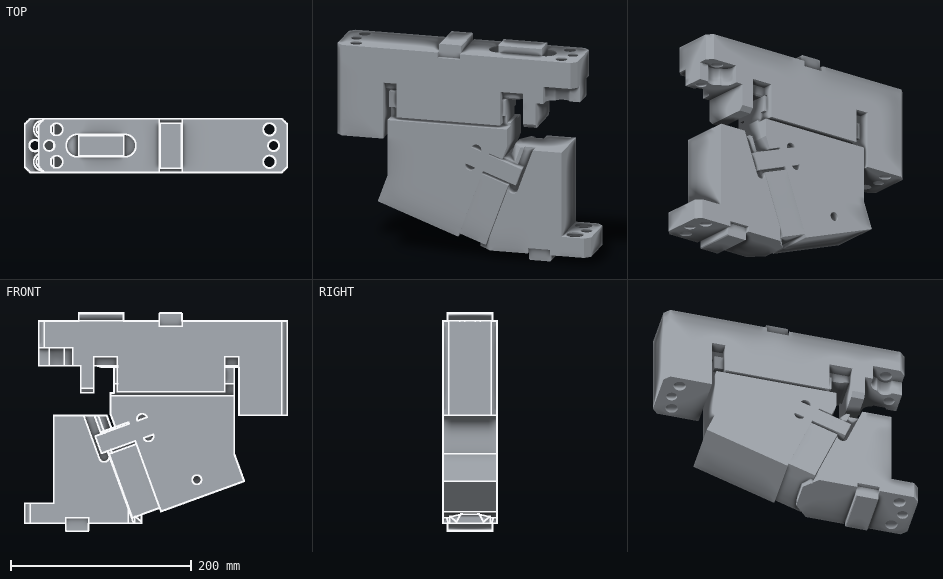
import cadquery as cq
import math

LENGTH = 292.0
WIDTH = 60.0
SHUT_HEIGHT = 225.0
HALF_WIDTH = WIDTH / 2
SIDES = (-1, 1)
FAR = 400.0

CORNER_CHAMFER = 6.3
BOLT_HOLE_D = 13.5
BOLT_SPACING = 36.0
BOLT_FROM_END = 20.0
COUNTERBORE_D = 19.6
KEY_WIDTH = 25.5
KEY_LENGTH = 50.0
KEY_HEIGHT = 15.0
KEY_PROUD = 8.8
KEY_CHAMFER = 1.0
KEY_SEAT = KEY_HEIGHT - KEY_PROUD

GUIDE_ANGLE = 20.0
GUIDE_FOOT_X = 121.2
TONGUE_HALF = 22.5
TONGUE_STEP = 4.0
VEE_HEIGHT = 13.0
VEE_FLAT_HALF = 8.5
FACE_CLEARANCE = 0.8

DRIVER_HEIGHT = 120.0
DRIVER_WALL_X = 32.3
DRIVER_END_X = 130.0
DRIVER_END_CHAMFER = 15.0
FOOT_HEIGHT = 22.5
FOOT_SPOTFACE_DEPTH = 3.0
DOWEL_D = 12.0
DOWEL_FROM_END = 11.7
DOWEL_RELIEF_D = 13.2
DOWEL_RELIEF_DEPTH = 2.5
DRIVER_KEY_X = 58.4
RETURN_GROOVE_WIDTH = 11.2
RETURN_GROOVE_DEPTH = 12.0
RETURN_GROOVE_END = 80.6

SLIDER_LEFT_X = 95.4
SLIDER_RIGHT_X = 233.0
SLIDER_SHOULDER = 142.0
SLIDER_PLATEAU = 145.0
SLIDER_BACK = 131.5
SLIDER_BOTTOM = 2.0
SLIDER_TOP_RELIEF = 17.3
NECK_HALF = 15.0
HEAD_HALF = 22.0
TEE_LEFT_X = 99.1
HEAD_BOTTOM = 155.0
HEAD_TOP = 173.2
HOOK_LOW = 85.4
HOOK_HIGH = 105.7
HOOK_REACH = 7.0
HOOK_INNER_HALF = 18.5
HOOK_PLATE_DEPTH = 7.0
UPPER_SLOT_HEIGHT = 2.0
LOWER_SLOT_HEIGHT = 3.6
WEAR_PLATE_WIDTH = 33.0
WEAR_PLATE_BOTTOM = 6.2
WEAR_PLATE_RECESS = 0.2
HALF_HOLE_R = 5.8
HALF_HOLE_OFFSET = 48.5
SIDE_HOLE_D = 10.4
SIDE_HOLE_X = 191.4
SIDE_HOLE_Z = 48.5
SIDE_HOLE_DEPTH = 15.0
DRILL_POINT_ANGLE = 118.0

HOLDER_LEFT_X = 15.7
HOLDER_BODY_BOTTOM = 175.0
HOLDER_LEG_BOTTOM = 120.0
HOLDER_LEG_X = 238.0
STOP_LEFT_X = 62.4
STOP_RIGHT_X = 77.0
STOP_BOTTOM = 145.0
STOP_CHAMFER = 5.0
RAIL_LEFT_X = 103.0
RAIL_RIGHT_X = 222.5
RAIL_BOTTOM = 146.0
NOTCH_TOP = 185.0
PAD_START_X = 80.5
PAD_RAMP_LENGTH = 6.5
PAD_HALF = 17.0
PAD_SIDE_SLOPE = 1.0
POCKET_HEIGHT = 20.0
POCKET_END_X = 53.5
POCKET_HALF = 13.0
POCKET_CORNER_R = 9.8
RIGHT_DOWEL_FROM_END = 15.4
HOLDER_KEY_X = 162.2
RECESS_X = 85.0
RECESS_LENGTH = 77.5
RECESS_WIDTH = 25.0
RECESS_DEPTH = 6.5
STRIKER_LENGTH = 50.0
STRIKER_WIDTH = 24.0
STRIKER_CHAMFER = 1.0
STRIKER_PROUD = 8.8


def box(x0, x1, y0, y1, z0, z1):
    return cq.Workplane("XY").box(x1 - x0, y1 - y0, z1 - z0, centered=False).translate((x0, y0, z0))


def full_box(x0, x1, z0, z1):
    """Box over the full width."""
    return box(x0, x1, -HALF_WIDTH, HALF_WIDTH, z0, z1)


def tilt(shape):
    """Lean a shape so its X axis becomes the guide normal and its Z axis the guide slope."""
    return shape.rotate((0, 0, 0), (0, 1, 0), -GUIDE_ANGLE).translate((GUIDE_FOOT_X, 0, 0))


def guide_point(normal, along):
    """X and Z of a point given by its distance from the guide face and along the slope."""
    angle = math.radians(GUIDE_ANGLE)
    x = GUIDE_FOOT_X + normal * math.cos(angle) - along * math.sin(angle)
    z = normal * math.sin(angle) + along * math.cos(angle)
    return x, z


def guide_line_at(normal, x):
    """Point at the given X on the sloped line that lies `normal` from the guide face."""
    angle = math.radians(GUIDE_ANGLE)
    z = (normal - (x - GUIDE_FOOT_X) * math.cos(angle)) / math.sin(angle)
    return x, z


def side_profile(points):
    """Extrude an X-Z outline over the full width."""
    return cq.Workplane("XZ").polyline(points).close().extrude(HALF_WIDTH, both=True)


def hole(x, y, z_top, diameter, depth=FAR):
    """Vertical round cutter going down from `z_top`."""
    return cq.Workplane("XY", origin=(x, y, z_top)).circle(diameter / 2).extrude(-depth)


def guide_prism(face):
    """Sloped prism: a flat front at `face` with the stepped vee tongue standing on it."""
    outline = [
        (-FAR, HALF_WIDTH),
        (face, HALF_WIDTH),
        (face, TONGUE_HALF),
        (TONGUE_STEP, TONGUE_HALF),
        (VEE_HEIGHT, VEE_FLAT_HALF),
    ]
    mirrored = [(x, -y) for x, y in reversed(outline)]
    return tilt(cq.Workplane("XY").polyline(outline + mirrored).close().extrude(FAR, both=True))


def side_box(x0, x1, side, inner, z0, z1):
    """Box on one side of the unit, from Y distance `inner` out to the side face."""
    y0, y1 = sorted((side * inner, side * HALF_WIDTH))
    return box(x0, x1, y0, y1, z0, z1)


def side_disc(x, z, side, radius, depth):
    """Disc sunk into one side face."""
    back_face = HALF_WIDTH if side > 0 else depth - HALF_WIDTH
    return cq.Workplane("XZ", origin=(x, back_face, z)).circle(radius).extrude(depth)


def key(x, z_low, outer_face):
    """Cross key whose outer edges are chamfered."""
    block = box(
        x - KEY_WIDTH / 2, x + KEY_WIDTH / 2, -KEY_LENGTH / 2, KEY_LENGTH / 2, z_low, z_low + KEY_HEIGHT
    )
    return block.faces(outer_face).edges("|Y").chamfer(KEY_CHAMFER)


def key_seat(x, z_low):
    """Full-width keyway in which the key sits."""
    return full_box(x - KEY_WIDTH / 2, x + KEY_WIDTH / 2, z_low, z_low + KEY_SEAT)




def driver_block():
    """L-shaped block, bounded on the right by the sloped guide."""
    foot = full_box(0, DRIVER_END_X, 0, FOOT_HEIGHT)
    wall = full_box(DRIVER_WALL_X, DRIVER_END_X, 0, DRIVER_HEIGHT)
    block = foot.union(wall)
    block = block.faces(">X").edges("|Z").chamfer(DRIVER_END_CHAMFER)
    block = block.faces("<X").edges("|Z").chamfer(CORNER_CHAMFER)
    return block.intersect(guide_prism(0))


def return_groove(side):
    """Round-ended groove behind the guide tongue."""
    radius = RETURN_GROOVE_WIDTH / 2
    inner = HALF_WIDTH - RETURN_GROOVE_DEPTH
    channel = tilt(side_box(-RETURN_GROOVE_WIDTH, 0, side, inner, RETURN_GROOVE_END, FAR))
    end_x, end_z = guide_point(-radius, RETURN_GROOVE_END)
    return channel.union(side_disc(end_x, end_z, side, radius, RETURN_GROOVE_DEPTH))


def make_driver():
    driver = driver_block()
    for side in SIDES:
        driver = driver.cut(return_groove(side))
        y = side * BOLT_SPACING / 2
        driver = driver.cut(hole(BOLT_FROM_END, y, FOOT_HEIGHT, BOLT_HOLE_D))
        driver = driver.cut(hole(BOLT_FROM_END, y, FOOT_HEIGHT, COUNTERBORE_D, FOOT_SPOTFACE_DEPTH))
    driver = driver.cut(hole(DOWEL_FROM_END, 0, FOOT_HEIGHT, DOWEL_D))
    driver = driver.cut(hole(DOWEL_FROM_END, 0, FOOT_HEIGHT, DOWEL_RELIEF_D, DOWEL_RELIEF_DEPTH))
    driver = driver.cut(key_seat(DRIVER_KEY_X, 0))
    return driver.union(key(DRIVER_KEY_X, -KEY_PROUD, "<Z"))




def slider_block():
    """Main block with the female vee, the relieved upper face and the stepped top."""
    step = HOOK_HIGH + UPPER_SLOT_HEIGHT
    block = side_profile(
        [
            guide_point(0, WEAR_PLATE_BOTTOM),
            guide_point(WEAR_PLATE_WIDTH, WEAR_PLATE_BOTTOM),
            guide_point(WEAR_PLATE_WIDTH, SLIDER_BOTTOM),
            guide_point(SLIDER_BACK, SLIDER_BOTTOM),
            guide_line_at(SLIDER_BACK, SLIDER_RIGHT_X),
            (SLIDER_RIGHT_X, SLIDER_PLATEAU),
            (SLIDER_LEFT_X, SLIDER_PLATEAU),
            guide_line_at(SLIDER_TOP_RELIEF, SLIDER_LEFT_X),
            guide_point(SLIDER_TOP_RELIEF, step),
            guide_point(0, step),
        ]
    )
    block = block.cut(guide_prism(FACE_CLEARANCE))
    for side in SIDES:
        shoulder = side_box(SLIDER_LEFT_X, SLIDER_RIGHT_X, side, NECK_HALF, SLIDER_SHOULDER, SLIDER_PLATEAU)
        block = block.cut(shoulder)
    return block


def tee_tongue():
    """Neck and head that hang the slider in the holder's rails."""
    neck = box(TEE_LEFT_X, SLIDER_RIGHT_X, -NECK_HALF, NECK_HALF, SLIDER_PLATEAU, HEAD_BOTTOM)
    head = box(TEE_LEFT_X, SLIDER_RIGHT_X, -HEAD_HALF, HEAD_HALF, HEAD_BOTTOM, HEAD_TOP)
    return neck.union(head)


def hook_relief(side):
    """Slots above and below the return hook, and the half-round pockets beside it."""
    inner = HALF_WIDTH - HOOK_PLATE_DEPTH
    slot_floor = HOOK_LOW - LOWER_SLOT_HEIGHT
    slot_roof = HOOK_HIGH + UPPER_SLOT_HEIGHT
    upper = tilt(side_box(0, WEAR_PLATE_WIDTH, side, inner, HOOK_HIGH, slot_roof))
    lower = tilt(side_box(0, WEAR_PLATE_WIDTH, side, inner, slot_floor, HOOK_LOW))
    relief = upper.union(lower)
    hook_band = tilt(side_box(-FAR, FAR, side, inner, HOOK_LOW, HOOK_HIGH))
    for along in (HOOK_LOW, HOOK_HIGH):
        x, z = guide_point(HALF_HOLE_OFFSET, along)
        pocket = side_disc(x, z, side, HALF_HOLE_R, HOOK_PLATE_DEPTH)
        relief = relief.union(pocket.cut(hook_band))
    return relief


def wear_plate_step(side):
    """Shallow step that sets the lower front area just below the side face."""
    top = HOOK_LOW - LOWER_SLOT_HEIGHT
    inner = HALF_WIDTH - WEAR_PLATE_RECESS
    return tilt(side_box(0, WEAR_PLATE_WIDTH, side, inner, WEAR_PLATE_BOTTOM, top))


def return_hook(side):
    """Hook that passes outside the driver's tongue and reaches behind it."""
    plate_inner = HALF_WIDTH - HOOK_PLATE_DEPTH
    plate = tilt(side_box(0, SLIDER_TOP_RELIEF, side, plate_inner, HOOK_LOW, HOOK_HIGH))
    claw = tilt(side_box(-HOOK_REACH, 0, side, HOOK_INNER_HALF, HOOK_LOW, HOOK_HIGH))
    return plate.union(claw)


def side_hole():
    """Blind drilled hole in the -Y side face."""
    radius = SIDE_HOLE_D / 2
    tip = radius / math.tan(math.radians(DRILL_POINT_ANGLE / 2))
    half_section = [(0, 0), (radius, 0), (radius, SIDE_HOLE_DEPTH), (0, SIDE_HOLE_DEPTH + tip)]
    drill = cq.Workplane("XY").polyline(half_section).close().revolve(360, (0, 0), (0, 1))
    return drill.translate((SIDE_HOLE_X, -HALF_WIDTH, SIDE_HOLE_Z))


def make_slider():
    slider = slider_block().union(tee_tongue())
    for side in SIDES:
        slider = slider.cut(hook_relief(side))
        slider = slider.cut(wear_plate_step(side))
        slider = slider.union(return_hook(side))
    return slider.cut(side_hole())




def holder_block():
    """Top beam with the long right leg and the stop hanging near its left end."""
    beam = full_box(HOLDER_LEFT_X, LENGTH, HOLDER_BODY_BOTTOM, SHUT_HEIGHT)
    leg = full_box(HOLDER_LEG_X, LENGTH, HOLDER_LEG_BOTTOM, SHUT_HEIGHT)
    block = beam.union(leg).faces("<X or >X").edges("|Z").chamfer(CORNER_CHAMFER)
    stop = full_box(STOP_LEFT_X, STOP_RIGHT_X, STOP_BOTTOM, HOLDER_BODY_BOTTOM)
    stop = stop.faces("<Z").edges("|X").chamfer(STOP_CHAMFER)
    return block.union(stop)


def rails():
    """Pair of rails that wrap the slider's tee tongue."""
    block = full_box(RAIL_LEFT_X, RAIL_RIGHT_X, RAIL_BOTTOM, HOLDER_BODY_BOTTOM)
    neck = box(RAIL_LEFT_X, RAIL_RIGHT_X, -NECK_HALF, NECK_HALF, RAIL_BOTTOM, HEAD_BOTTOM)
    head = box(RAIL_LEFT_X, RAIL_RIGHT_X, -HEAD_HALF, HEAD_HALF, HEAD_BOTTOM, HOLDER_BODY_BOTTOM)
    return block.cut(neck).cut(head)


def slide_pad():
    """Pad on which the tee head runs, with sloped sides and a ramp at its left end."""
    ramp = side_profile(
        [
            (PAD_START_X, HOLDER_BODY_BOTTOM),
            (PAD_START_X + PAD_RAMP_LENGTH, HEAD_TOP),
            (HOLDER_LEG_X, HEAD_TOP),
            (HOLDER_LEG_X, HOLDER_BODY_BOTTOM),
        ]
    )
    bottom_half = PAD_HALF - PAD_SIDE_SLOPE
    cross_section = [
        (-PAD_HALF, HOLDER_BODY_BOTTOM),
        (-bottom_half, HEAD_TOP),
        (bottom_half, HEAD_TOP),
        (PAD_HALF, HOLDER_BODY_BOTTOM),
    ]
    return ramp.intersect(cq.Workplane("YZ").polyline(cross_section).close().extrude(LENGTH))


def bolt_pocket(side):
    """Corner pocket, open to the end and the side, that clears the bolt head."""
    inner_face = "<Y" if side > 0 else ">Y"
    top = HOLDER_BODY_BOTTOM + POCKET_HEIGHT
    pocket = side_box(HOLDER_LEFT_X, POCKET_END_X, side, POCKET_HALF, HOLDER_BODY_BOTTOM, top)
    pocket = pocket.faces(inner_face).edges(">X").fillet(POCKET_CORNER_R)
    head = hole(HOLDER_LEFT_X + BOLT_FROM_END, side * BOLT_SPACING / 2, top, COUNTERBORE_D, POCKET_HEIGHT)
    return pocket.union(head)


def striker():
    """Raised block standing in the recess of the top face."""
    half_length = STRIKER_LENGTH / 2
    half_width = STRIKER_WIDTH / 2
    block = box(
        RECESS_X - half_length,
        RECESS_X + half_length,
        -half_width,
        half_width,
        SHUT_HEIGHT - RECESS_DEPTH,
        SHUT_HEIGHT + STRIKER_PROUD,
    )
    return block.faces(">Z").edges("|X").chamfer(STRIKER_CHAMFER)


def make_holder():
    holder = holder_block().union(rails())
    for side in SIDES:
        for x0, x1 in ((STOP_RIGHT_X, RAIL_LEFT_X), (RAIL_RIGHT_X, HOLDER_LEG_X)):
            holder = holder.cut(side_box(x0, x1, side, PAD_HALF, HOLDER_BODY_BOTTOM, NOTCH_TOP))
        holder = holder.cut(bolt_pocket(side))
        for x in (HOLDER_LEFT_X + BOLT_FROM_END, LENGTH - BOLT_FROM_END):
            holder = holder.cut(hole(x, side * BOLT_SPACING / 2, SHUT_HEIGHT, BOLT_HOLE_D))
    for x in (HOLDER_LEFT_X + DOWEL_FROM_END, LENGTH - RIGHT_DOWEL_FROM_END):
        holder = holder.cut(hole(x, 0, SHUT_HEIGHT, DOWEL_D))
    holder = holder.union(slide_pad())
    top = cq.Workplane("XY", origin=(RECESS_X, 0, SHUT_HEIGHT))
    recess = top.slot2D(RECESS_LENGTH, RECESS_WIDTH).extrude(-RECESS_DEPTH)
    holder = holder.cut(recess).union(striker())
    seat_floor = SHUT_HEIGHT - KEY_SEAT
    holder = holder.cut(key_seat(HOLDER_KEY_X, seat_floor))
    return holder.union(key(HOLDER_KEY_X, seat_floor, ">Z"))


driver = make_driver()
slider = make_slider()
holder = make_holder()

result = cq.Compound.makeCompound([*driver.solids().vals(), *slider.solids().vals(), *holder.solids().vals()])